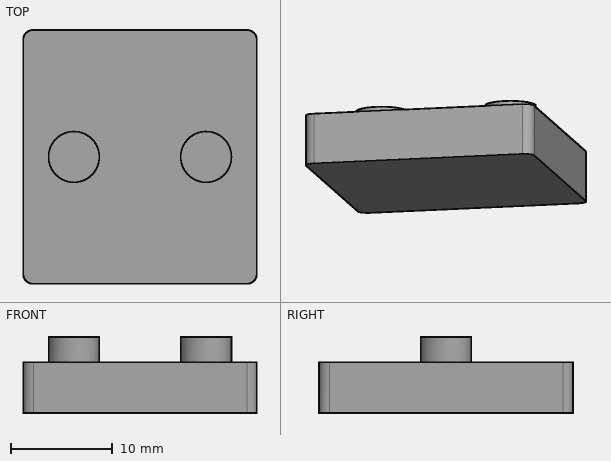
import cadquery as cq

plate_width = 23.0
plate_length = 25.0
plate_thickness = 5.0
corner_radius = 1.0

peg_diameter = 5.0
peg_height = 2.5
peg_spacing = 13.0


def base_plate():
    """Flat plate with rounded vertical corners, resting on Z = 0."""
    return (
        cq.Workplane("XY")
        .box(plate_width, plate_length, plate_thickness, centered=(True, True, False))
        .edges("|Z")
        .fillet(corner_radius)
    )


def pegs():
    """Two pegs placed symmetrically about the plate centre along X."""
    return (
        cq.Workplane("XY")
        .workplane(offset=plate_thickness)
        .pushPoints([(-peg_spacing / 2, 0), (peg_spacing / 2, 0)])
        .circle(peg_diameter / 2)
        .extrude(peg_height)
    )


result = base_plate().union(pegs())